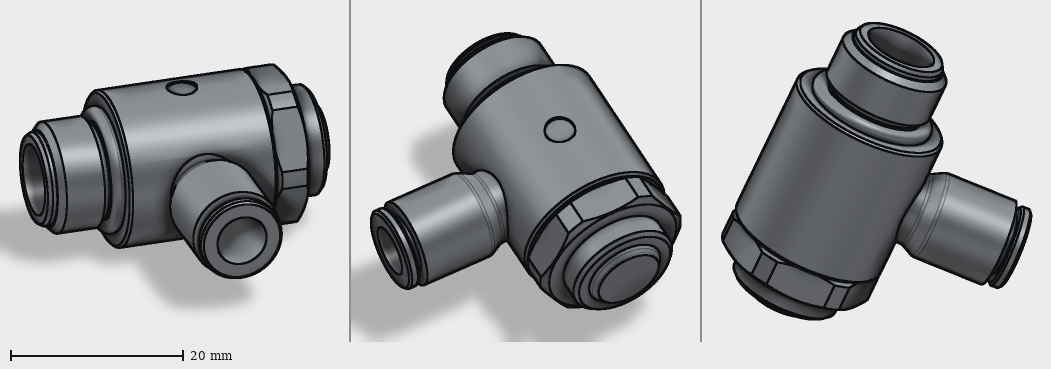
import cadquery as cq
import math


nose_y = -18.05
cap_y = 16.73
port_x = 22.45

body_radius = 9.25
body_front_y = -9.3
body_back_y = 8.73
body_chamfer = 0.3

thread_radius = 6.57
relief_radius = 5.77
thread_back_y = -11.5
thread_front_y = -16.17
thread_chamfer = 0.85
tip_radius = 5.53
tip_chamfer_length = 0.52
tip_chamfer_depth = 0.3

ring_section_radius = 0.95
ring_outer_radius = 7.5
ring_y = -9.75

hex_across_flats = 17.0
hex_back_y = 12.85
hex_chamfer_depth = 0.87
hex_chamfer_angle = 30

cap_radius = 6.5
cap_shoulder_y = 15.75
cap_chamfer = 0.5
cap_nose_base_radius = 4.7
cap_nose_lower_radius = 4.45
cap_nose_lower_y = 16.1
cap_nose_upper_radius = 4.1
cap_nose_upper_y = 16.52
cap_nose_end_radius = 3.95

port_neck_radius = 4.38
port_radius = 5.25
port_cone_start_x = 9.88
port_cone_end_x = 11.58
port_cone_blend = 0.87
port_body_end_x = 20.3
button_neck_radius = 3.6
button_start_x = 21.1
button_radius = 4.95
button_chamfer = 0.28

main_bore_radius = 4.17
port_bore_radius = 3.0

recess_radius = 1.77
recess_depth = 0.35


def turned_about_y(points):
    """Solid of revolution about Y from (radius, y) points that start and end on the axis."""
    return cq.Workplane("XY").polyline(points).close().revolve(360, (0, 0, 0), (0, 1, 0))


def cylinder_along_y(radius, start_y, end_y):
    plane = cq.Plane(origin=(0, start_y, 0), xDir=(1, 0, 0), normal=(0, 1, 0))
    return cq.Workplane(plane).circle(radius).extrude(end_y - start_y)


def make_body():
    body = cylinder_along_y(body_radius, body_front_y, body_back_y)
    return body.faces("<Y or >Y").chamfer(body_chamfer)


def make_spigot():
    thread_end_y = thread_front_y - thread_chamfer
    return turned_about_y([
        (0, body_front_y),
        (relief_radius, body_front_y),
        (relief_radius, ring_y - ring_section_radius),
        (thread_radius, thread_back_y),
        (thread_radius, thread_front_y),
        (thread_radius - thread_chamfer, thread_end_y),
        (tip_radius, thread_end_y),
        (tip_radius, nose_y + tip_chamfer_length),
        (tip_radius - tip_chamfer_depth, nose_y),
        (0, nose_y),
    ])


def make_o_ring():
    centre_radius = ring_outer_radius - ring_section_radius
    section = cq.Workplane("XY").center(centre_radius, ring_y).circle(ring_section_radius)
    return section.revolve(360, (-centre_radius, 0, 0), (-centre_radius, 1, 0))


def make_hexagon():
    """Hexagon with flats facing +Z and -Z, its corners turned round and chamfered at both ends."""
    thickness = hex_back_y - body_back_y
    plane = cq.Plane(origin=(0, body_back_y, 0), xDir=(1, 0, 0), normal=(0, 1, 0))
    prism = cq.Workplane(plane).polygon(6, hex_across_flats / math.cos(math.pi / 6)).extrude(thickness)
    chamfer_length = hex_chamfer_depth * math.tan(math.radians(hex_chamfer_angle))
    end_radius = body_radius - hex_chamfer_depth
    envelope = turned_about_y([
        (0, body_back_y),
        (end_radius, body_back_y),
        (body_radius, body_back_y + chamfer_length),
        (body_radius, hex_back_y - chamfer_length),
        (end_radius, hex_back_y),
        (0, hex_back_y),
    ])
    return prism.intersect(envelope)


def make_cap():
    return turned_about_y([
        (0, hex_back_y),
        (cap_radius, hex_back_y),
        (cap_radius, cap_shoulder_y - cap_chamfer),
        (cap_radius - cap_chamfer, cap_shoulder_y),
        (cap_nose_base_radius, cap_shoulder_y),
        (cap_nose_lower_radius, cap_nose_lower_y),
        (cap_nose_upper_radius, cap_nose_upper_y),
        (cap_nose_end_radius, cap_y),
        (0, cap_y),
    ])


def make_port():
    profile = [
        (0, 0),
        (0, port_neck_radius),
        (port_cone_start_x, port_neck_radius),
        (port_cone_end_x, port_radius),
        (port_body_end_x, port_radius),
        (port_body_end_x, button_neck_radius),
        (button_start_x, button_neck_radius),
        (button_start_x, button_radius - button_chamfer),
        (button_start_x + button_chamfer, button_radius),
        (port_x - button_chamfer, button_radius),
        (port_x, button_radius - button_chamfer),
        (port_x, 0),
    ]
    port = cq.Workplane("XY").polyline(profile).close().revolve(360, (0, 0, 0), (1, 0, 0))
    cone_ends = port.faces("%CONE").faces("<X").edges("%CIRCLE")
    return cone_ends.fillet(port_cone_blend)


def make_passages():
    """Main bore from the spigot end to the port axis, meeting a round-ended bore through the port."""
    main_bore = cylinder_along_y(main_bore_radius, nose_y, 0)
    port_bore = cq.Workplane("YZ").circle(port_bore_radius).extrude(port_x)
    bore_end = cq.Workplane("XY").sphere(port_bore_radius)
    return main_bore.union(port_bore).union(bore_end)


def make_recess():
    """Shallow round pocket with a flat floor."""
    floor = cq.Workplane("XY").workplane(offset=body_radius - recess_depth)
    return floor.circle(recess_radius).extrude(recess_depth)


result = (
    make_body()
    .union(make_spigot())
    .union(make_o_ring())
    .union(make_hexagon())
    .union(make_cap())
    .union(make_port())
    .cut(make_passages())
    .cut(make_recess())
)